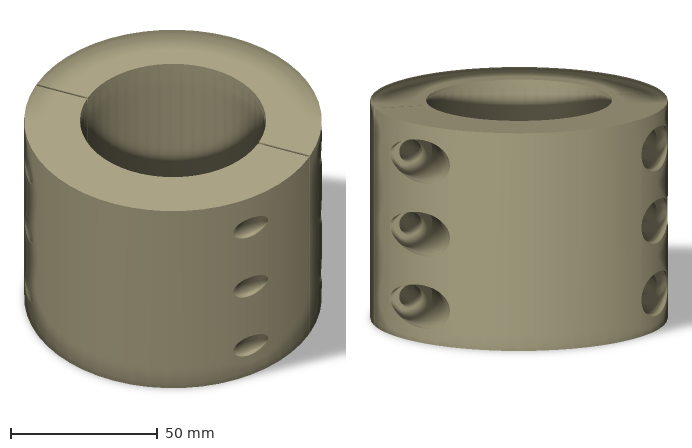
import cadquery as cq

outer_diameter = 101.6
bore_diameter = 63.5
height = 76.2
split_gap = 0.8

screw_rows = 3
screw_pitch = height / screw_rows
screw_offset = 41.2
screw_hole_diameter = 7.9
head_diameter = 15.1
head_seat_y = 12.7

outer_radius = outer_diameter / 2
screw_positions = [
    (side * screw_offset, (row + 0.5) * screw_pitch)
    for side in (-1, 1)
    for row in range(screw_rows)
]


def half_sleeve(side):
    """Half of the sleeve on the +Y (side = 1) or -Y (side = -1) side of the gap."""
    sleeve = cq.Workplane("XY").circle(outer_radius).circle(bore_diameter / 2).extrude(height)
    half_space = cq.Workplane("XY").box(
        outer_diameter, outer_radius, height, centered=(True, True, False)
    ).translate((0, side * (split_gap + outer_radius) / 2, 0))
    return sleeve.intersect(half_space)


def cylinders_along_y(diameter, start_y, end_y):
    """One cylinder at every screw position, from start_y to end_y."""
    return (
        cq.Workplane("XZ", origin=(0, start_y, 0))
        .pushPoints(screw_positions)
        .circle(diameter / 2)
        .extrude(start_y - end_y)
    )


screw_holes = cylinders_along_y(screw_hole_diameter, -outer_radius, outer_radius)
head_recesses = cylinders_along_y(head_diameter, head_seat_y, outer_radius)

plain_half = half_sleeve(-1).cut(screw_holes)
recessed_half = half_sleeve(1).cut(screw_holes).cut(head_recesses)

result = cq.Compound.makeCompound([plain_half.val(), recessed_half.val()])